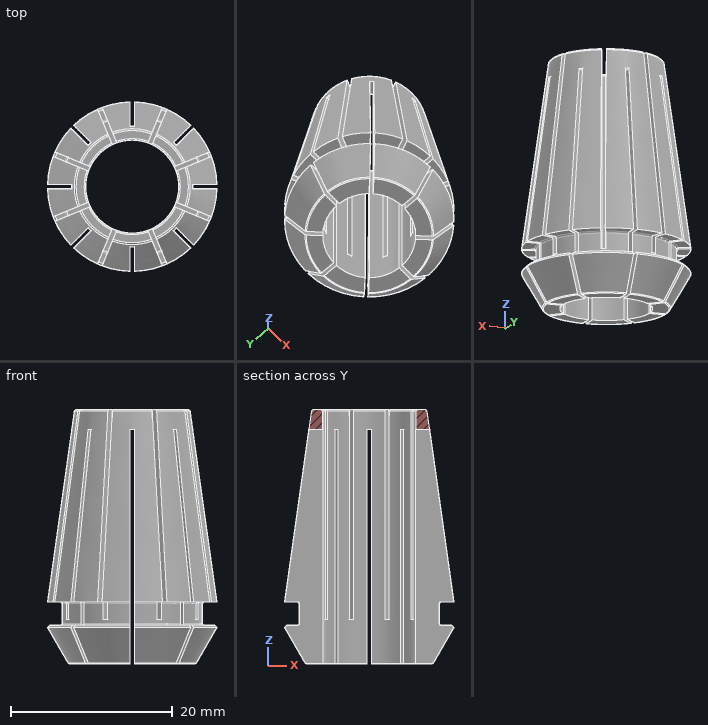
import cadquery as cq
import math

full_turn = 360.0
total_height = 31.5
max_radius = 10.5
bore_diameter = 11.5
bore_radius = bore_diameter / 2

nose_half_angle = 30.0
nose_height = 4.5
flange_bevel = 0.3
nose_slope = math.tan(math.radians(nose_half_angle))
nose_tip_radius = max_radius - nose_height * nose_slope
nose_edge_break = 0.1

groove_bottom = nose_height + flange_bevel
groove_top = 7.65
groove_radius = 8.7
groove_corner = 0.2

taper_half_angle = 8.0
taper_slope = math.tan(math.radians(taper_half_angle))
tip_radius = max_radius - (total_height - groove_top) * taper_slope
tip_bevel = 0.2
bore_bevel = 0.2

slits_per_end = 8
slit_pitch = full_turn / slits_per_end
nose_slit_width = 0.5
tip_slit_width = 0.6
tip_bridge = 2.5
nose_slit_end = total_height - tip_bridge
tip_slit_end = 5.5
cut_margin = 1.0


def collet_blank():
    """Revolve the half section of the collet, bore included, about Z."""
    bevel_start_radius = tip_radius + tip_bevel * taper_slope
    nose_break_radius = nose_tip_radius + nose_edge_break * nose_slope
    section = (
        cq.Workplane("XZ")
        .moveTo(bore_radius, 0)
        .lineTo(nose_tip_radius - nose_edge_break, 0)
        .lineTo(nose_break_radius, nose_edge_break)
        .lineTo(max_radius, nose_height)
        .lineTo(max_radius - flange_bevel, groove_bottom)
        .lineTo(groove_radius + groove_corner, groove_bottom)
        .radiusArc((groove_radius, groove_bottom + groove_corner), groove_corner)
        .lineTo(groove_radius, groove_top - groove_corner)
        .radiusArc((groove_radius + groove_corner, groove_top), groove_corner)
        .lineTo(max_radius, groove_top)
        .lineTo(bevel_start_radius, total_height - tip_bevel)
        .lineTo(tip_radius - tip_bevel, total_height)
        .lineTo(bore_radius + bore_bevel, total_height)
        .lineTo(bore_radius, total_height - bore_bevel)
        .close()
    )
    return section.revolve(full_turn, (0, 0, 0), (0, 1, 0))


def slit_cutters(width, z_low, z_high, first_angle):
    """Ring of thin radial blades that span from the axis past the outer wall."""
    blade = cq.Workplane("XY").box(
        max_radius + cut_margin, width, z_high - z_low, centered=(False, True, False)
    )
    blade = blade.translate((0, 0, z_low))
    blades = cq.Workplane("XY")
    for index in range(slits_per_end):
        angle = first_angle + index * slit_pitch
        blades = blades.add(blade.rotate((0, 0, 0), (0, 0, 1), angle))
    return blades.combine()


nose_slits = slit_cutters(nose_slit_width, -cut_margin, nose_slit_end, 0)
tip_slits = slit_cutters(tip_slit_width, tip_slit_end, total_height + cut_margin, slit_pitch / 2)

result = collet_blank().cut(nose_slits).cut(tip_slits)